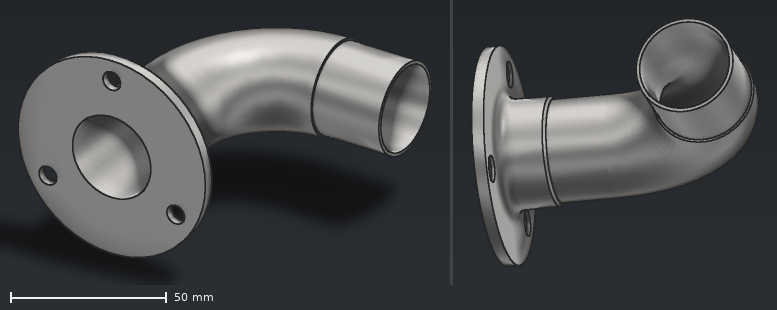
import cadquery as cq

overall_length = 98.5
overall_depth = 94.0

flange_diameter = 71.0
flange_thickness = 4.0
bolt_circle_radius = 28.0
bolt_hole_diameter = 6.6
bolt_hole_count = 3
countersink_size = 1.0

pipe_diameter = 33.7
bore_diameter = 29.6
tail_diameter = 32.1
bend_radius = 37.8

collar_diameter = 35.8
collar_end = 20.1
collar_chamfer = 1.0
collar_fillet = 3.7

tail_end = overall_length - flange_diameter / 2
tail_axis_y = overall_depth - pipe_diameter / 2
bend_start_y = tail_axis_y - bend_radius


def cylinder_along_y(diameter, start, end):
    """Solid cylinder on the flange axis between two Y positions."""
    plane = cq.Workplane("XZ", origin=(0, start, 0))
    return plane.circle(diameter / 2).extrude(start - end)


def cylinder_along_x(diameter, start, end):
    """Solid cylinder on the tail axis between two X positions."""
    plane = cq.Workplane("YZ", origin=(start, tail_axis_y, 0))
    return plane.circle(diameter / 2).extrude(end - start)


def bend(diameter):
    """Quarter torus turning from the flange axis to the tail axis."""
    profile = cq.Workplane("XZ", origin=(0, bend_start_y, 0)).circle(diameter / 2)
    return profile.revolve(90, (bend_radius, 0, 0), (bend_radius, -1, 0))


def elbow(inlet_diameter, outlet_diameter):
    """Straight inlet, quarter bend and straight outlet joined together."""
    inlet = cylinder_along_y(inlet_diameter, 0, bend_start_y)
    outlet = cylinder_along_x(outlet_diameter, bend_radius, tail_end)
    return inlet.union(bend(inlet_diameter)).union(outlet)


def flange_with_collar():
    """Round flange blended into a collar with a chamfered end."""
    collar_radius = collar_diameter / 2
    fillet_outer_radius = collar_radius + collar_fillet
    fillet_end_y = flange_thickness + collar_fillet
    outline = (
        cq.Workplane("XY")
        .lineTo(flange_diameter / 2, 0)
        .lineTo(flange_diameter / 2, flange_thickness)
        .lineTo(fillet_outer_radius, flange_thickness)
        .radiusArc((collar_radius, fillet_end_y), collar_fillet)
        .lineTo(collar_radius, collar_end - collar_chamfer)
        .lineTo(collar_radius - collar_chamfer, collar_end)
        .lineTo(0, collar_end)
        .close()
    )
    return outline.revolve(360, (0, 0, 0), (0, 1, 0))


def bolt_holes():
    """Cutters for the evenly spaced holes, countersunk on the collar side."""
    hole = cylinder_along_y(bolt_hole_diameter, 0, flange_thickness)
    countersink = (
        cq.Workplane("XZ", origin=(0, flange_thickness, 0))
        .circle(bolt_hole_diameter / 2 + countersink_size)
        .workplane(offset=countersink_size)
        .circle(bolt_hole_diameter / 2)
        .loft(ruled=True)
    )
    cutter = hole.union(countersink).translate((0, 0, bolt_circle_radius))
    holes = cq.Workplane("XY")
    for index in range(bolt_hole_count):
        angle = index * 360 / bolt_hole_count
        holes = holes.add(cutter.rotate((0, 0, 0), (0, 1, 0), angle))
    return holes.combine()


body = flange_with_collar().union(elbow(pipe_diameter, tail_diameter))
bore = elbow(bore_diameter, bore_diameter)
result = body.cut(bore).cut(bolt_holes())